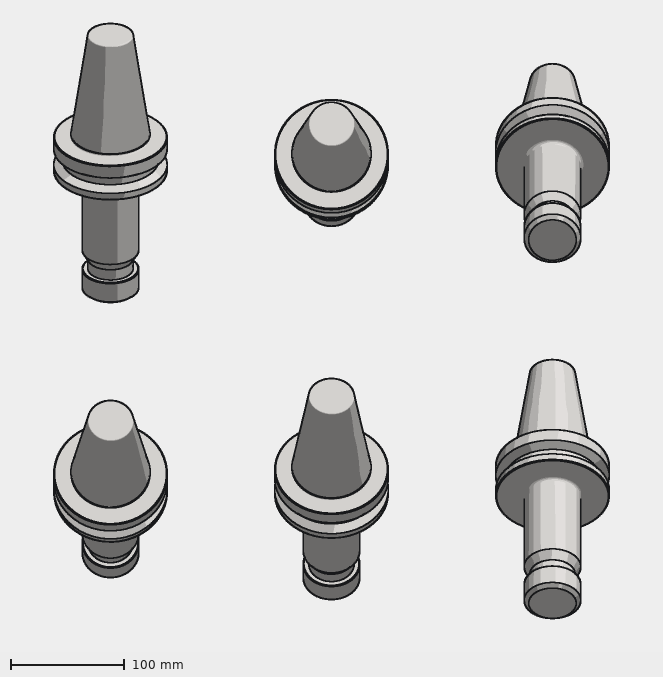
import cadquery as cq

total_height = 261.8
gauge_height = 160.0
flange_top = 157.3
flange_bottom = 122.0
groove_top = 140.3
groove_bottom = 133.5
shank_bottom = 41.4
neck_top = 33.0
nut_top = 22.5

flange_diameter = 100.0
groove_diameter = 85.0
gauge_diameter = 70.0
relief_diameter = 68.3
shank_diameter = 50.0
neck_diameter = 40.0
nut_face_diameter = 42.0

taper_ratio = 7 / 24
groove_flare = 4.5
nut_chamfer_height = 3.1
taper_tip_fillet = 1.3
flange_chamfer = 0.8
nut_top_chamfer = 0.8
shank_root_fillet = 3.1
relief_root_fillet = 1.3

flange_radius = flange_diameter / 2
groove_radius = groove_diameter / 2
gauge_radius = gauge_diameter / 2
relief_radius = relief_diameter / 2
shank_radius = shank_diameter / 2
neck_radius = neck_diameter / 2
nut_face_radius = nut_face_diameter / 2
taper_tip_radius = gauge_radius - taper_ratio * (total_height - gauge_height) / 2

profile = (
    cq.Workplane("XZ")
    .lineTo(nut_face_radius, 0)
    .lineTo(shank_radius, nut_chamfer_height)
    .lineTo(shank_radius, nut_top - nut_top_chamfer)
    .lineTo(shank_radius - nut_top_chamfer, nut_top)
    .lineTo(neck_radius, nut_top)
    .lineTo(neck_radius, neck_top)
    .lineTo(shank_radius, shank_bottom)
    .lineTo(shank_radius, flange_bottom - shank_root_fillet)
    .radiusArc((shank_radius + shank_root_fillet, flange_bottom), shank_root_fillet)
    .lineTo(flange_radius - flange_chamfer, flange_bottom)
    .lineTo(flange_radius, flange_bottom + flange_chamfer)
    .lineTo(flange_radius, groove_bottom - groove_flare)
    .lineTo(groove_radius, groove_bottom)
    .lineTo(groove_radius, groove_top)
    .lineTo(flange_radius, groove_top + groove_flare)
    .lineTo(flange_radius, flange_top - flange_chamfer)
    .lineTo(flange_radius - flange_chamfer, flange_top)
    .lineTo(relief_radius + relief_root_fillet, flange_top)
    .radiusArc((relief_radius, flange_top + relief_root_fillet), relief_root_fillet)
    .lineTo(relief_radius, gauge_height)
    .lineTo(gauge_radius, gauge_height)
    .lineTo(taper_tip_radius, total_height)
    .lineTo(0, total_height)
    .close()
)

holder = profile.revolve(360, (0, 0, 0), (0, 1, 0))
result = holder.faces(">Z").edges().fillet(taper_tip_fillet)